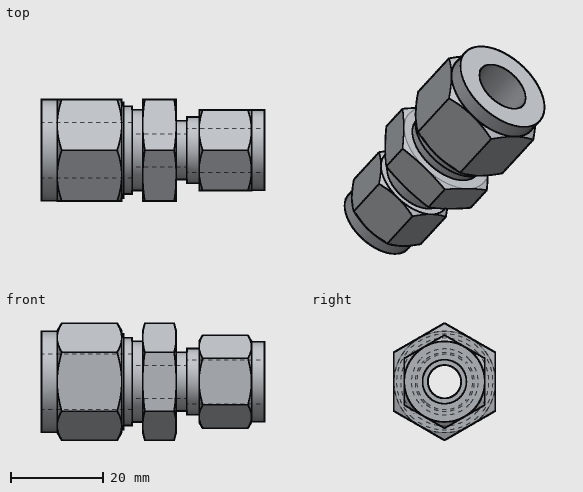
import cadquery as cq
import math

OVERALL_LENGTH = 48.4

LARGE_FLATS = 22.0
SMALL_FLATS = 17.45
NUT_CHAMFER_ANGLE = 30.0
BODY_CHAMFER_ANGLE = 15.0

LARGE_NUT_START = 3.45
LARGE_NUT_END = 17.4
WASHER_END = 17.85
LARGE_RING_END = 19.65
BODY_HEX_START = 21.95
BODY_HEX_END = 29.25
SMALL_NECK_END = 31.55
SMALL_NUT_START = 34.15
SMALL_NUT_END = 45.55

LARGE_COLLAR_DIAMETER = 21.95
WASHER_DIAMETER = 20.85
LARGE_RING_DIAMETER = 19.05
LARGE_NECK_DIAMETER = 17.55
SMALL_NECK_DIAMETER = 12.8
SMALL_RING_DIAMETER = 14.4
SMALL_COLLAR_DIAMETER = 17.4

BORE_DIAMETER = 7.15
LARGE_SOCKET_DIAMETER = 12.05
SMALL_SOCKET_DIAMETER = 9.55


def cylinder(diameter, start, end):
    """Round length on the X axis between two positions."""
    return cq.Workplane("YZ", origin=(start, 0, 0)).circle(diameter / 2).extrude(end - start)


def chamfered_hexagon(flats, start, end, chamfer_angle):
    """Hexagonal length whose corners are turned down to the flats circle at both ends."""
    corner_diameter = flats / math.cos(math.radians(30))
    flats_radius = flats / 2
    corner_radius = corner_diameter / 2
    chamfer_length = (corner_radius - flats_radius) * math.tan(math.radians(chamfer_angle))

    hexagon = (
        cq.Workplane("YZ", origin=(start, 0, 0))
        .polygon(6, corner_diameter)
        .extrude(end - start)
        .rotate((0, 0, 0), (1, 0, 0), 90)
    )
    turned_envelope = (
        cq.Workplane("XY")
        .moveTo(start, 0)
        .lineTo(start, flats_radius)
        .lineTo(start + chamfer_length, corner_radius)
        .lineTo(end - chamfer_length, corner_radius)
        .lineTo(end, flats_radius)
        .lineTo(end, 0)
        .close()
        .revolve(360, (0, 0, 0), (1, 0, 0))
    )
    return hexagon.intersect(turned_envelope)


outer_lengths = [
    cylinder(LARGE_COLLAR_DIAMETER, 0, LARGE_NUT_START),
    chamfered_hexagon(LARGE_FLATS, LARGE_NUT_START, LARGE_NUT_END, NUT_CHAMFER_ANGLE),
    cylinder(WASHER_DIAMETER, LARGE_NUT_END, WASHER_END),
    cylinder(LARGE_RING_DIAMETER, WASHER_END, LARGE_RING_END),
    cylinder(LARGE_NECK_DIAMETER, LARGE_RING_END, BODY_HEX_START),
    chamfered_hexagon(LARGE_FLATS, BODY_HEX_START, BODY_HEX_END, BODY_CHAMFER_ANGLE),
    cylinder(SMALL_NECK_DIAMETER, BODY_HEX_END, SMALL_NECK_END),
    cylinder(SMALL_RING_DIAMETER, SMALL_NECK_END, SMALL_NUT_START),
    chamfered_hexagon(SMALL_FLATS, SMALL_NUT_START, SMALL_NUT_END, NUT_CHAMFER_ANGLE),
    cylinder(SMALL_COLLAR_DIAMETER, SMALL_NUT_END, OVERALL_LENGTH),
]
result = outer_lengths[0]
for outer_length in outer_lengths[1:]:
    result = result.union(outer_length)

result = (
    result.cut(cylinder(BORE_DIAMETER, 0, OVERALL_LENGTH))
    .cut(cylinder(LARGE_SOCKET_DIAMETER, 0, LARGE_RING_END))
    .cut(cylinder(SMALL_SOCKET_DIAMETER, SMALL_NECK_END, OVERALL_LENGTH))
)